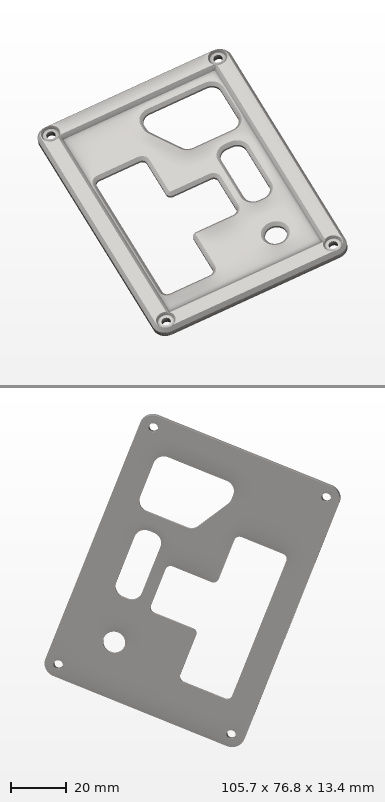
import cadquery as cq
import math

length = 105.7
width = 77.2
thickness = 3.5
corner_radius = 5.0
tilt_angle = 7.5

rim_run = 1.3
rim_drop = 1.5

floor_thickness = 2.0
recess_depth = thickness - floor_thickness
recess_length = 92.0
recess_width = 63.8
recess_floor_length = recess_length - 2 * recess_depth
recess_floor_width = recess_width - 2 * recess_depth

screw_spacing_x = 96.5
screw_spacing_y = 67.0
screw_diameter = 3.4
head_diameter = 5.8
head_top_diameter = 7.1
head_depth = 1.1

bevel_run = 1.3
bevel_drop = 1.1
large_radius = 4.0
small_radius = 2.0

window_left = -40.1
window_right = -18.0
window_bottom = -2.1
window_top = 28.7
window_slope_top = 6.6
window_slope_angle = 30.0

slot_center_x = 1.9
slot_center_y = 20.2
slot_length = 27.0
slot_width = 9.9

round_center_x = 32.5
round_center_y = 17.9
round_diameter = 8.0

tee_center_x = 7.1
tee_bottom = -28.7
tee_shoulder = -8.6
tee_top = 10.5
tee_bar_length = 59.1
tee_stem_width = 19.0


def make_plate():
    plate = cq.Workplane("XY").rect(length, width).extrude(thickness)
    plate = plate.edges("|Z").fillet(corner_radius)
    return plate.faces(">Z").edges().chamfer(rim_drop, rim_run)


def make_recess():
    mouth = cq.Workplane("XY").workplane(offset=thickness).rect(recess_length, recess_width)
    floor = mouth.workplane(offset=-recess_depth).rect(recess_floor_length, recess_floor_width)
    return floor.loft(ruled=True)


def make_screw_holes():
    profile = [
        (0, 0),
        (screw_diameter / 2, 0),
        (screw_diameter / 2, thickness - head_depth),
        (head_diameter / 2, thickness - head_depth),
        (head_top_diameter / 2, thickness),
        (0, thickness),
    ]
    hole = cq.Workplane("XZ").polyline(profile).close().revolve(360, (0, 0), (0, 1)).val()
    centers = cq.Workplane("XY").rect(screw_spacing_x, screw_spacing_y, forConstruction=True).vertices()
    return centers.eachpoint(lambda place: hole.moved(place))


def rounded_prism(outline, radius):
    return outline.extrude(floor_thickness).edges("|Z").fillet(radius)


def make_window():
    slope_run = (window_slope_top - window_bottom) / math.tan(math.radians(window_slope_angle))
    points = [
        (window_left, window_bottom),
        (window_right - slope_run, window_bottom),
        (window_right, window_slope_top),
        (window_right, window_top),
        (window_left, window_top),
    ]
    return rounded_prism(cq.Workplane("XY").polyline(points).close(), large_radius)


def make_slot():
    outline = cq.Workplane("XY").center(slot_center_x, slot_center_y).rect(slot_length, slot_width)
    return rounded_prism(outline, large_radius)


def make_round_opening():
    outline = cq.Workplane("XY").center(round_center_x, round_center_y).circle(round_diameter / 2)
    return outline.extrude(floor_thickness)


def make_tee():
    bar_left = tee_center_x - tee_bar_length / 2
    bar_right = tee_center_x + tee_bar_length / 2
    stem_left = tee_center_x - tee_stem_width / 2
    stem_right = tee_center_x + tee_stem_width / 2
    points = [
        (bar_left, tee_bottom),
        (bar_right, tee_bottom),
        (bar_right, tee_shoulder),
        (stem_right, tee_shoulder),
        (stem_right, tee_top),
        (stem_left, tee_top),
        (stem_left, tee_shoulder),
        (bar_left, tee_shoulder),
    ]
    return rounded_prism(cq.Workplane("XY").polyline(points).close(), small_radius)


def bevel_openings(plate):
    margin = 0.1
    half_length = recess_floor_length / 2 - margin
    half_width = recess_floor_width / 2 - margin
    opening_edges = cq.selectors.BoxSelector(
        (-half_length, -half_width, floor_thickness - margin),
        (half_length, half_width, floor_thickness + margin),
    )
    return plate.edges(opening_edges).chamfer(bevel_drop, bevel_run)


plate = make_plate().cut(make_recess())
for opening in (make_window(), make_slot(), make_round_opening(), make_tee()):
    plate = plate.cut(opening)
plate = bevel_openings(plate)
plate = plate.cut(make_screw_holes())

result = plate.rotate((0, 0, 0), (1, 0, 0), tilt_angle)